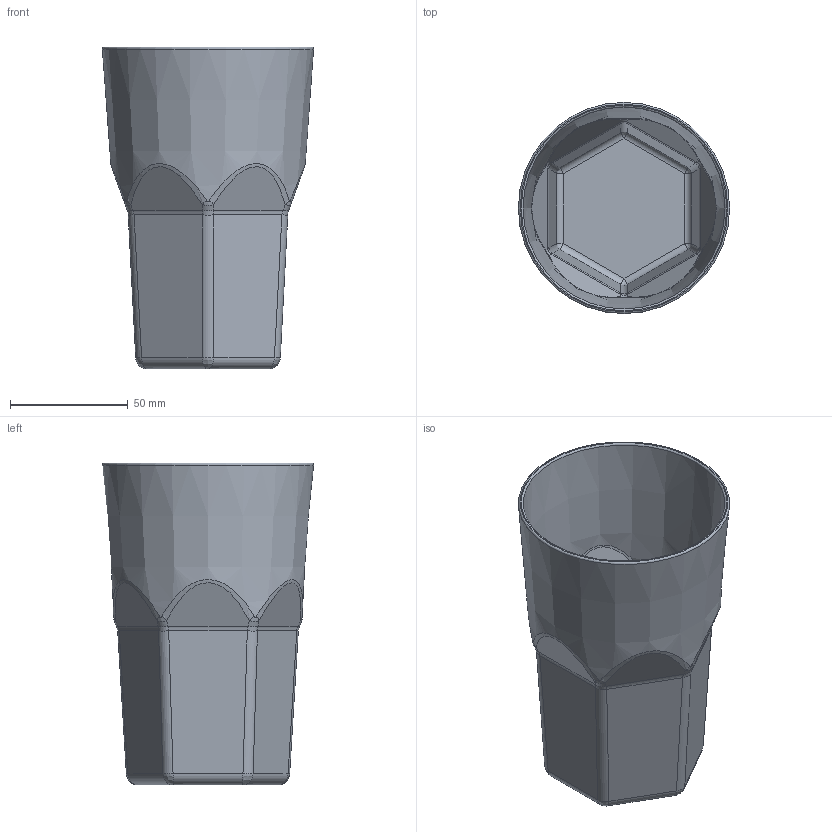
import cadquery as cq
import math

height = 137.0
rim_radius = 45.0
wall = 2.0
cone_slope = math.tan(math.radians(4.2))

bend_height = 66.6
bend_apothem = 34.0
side_slope = math.tan(math.radians(3.0))
flare_slope = math.tan(math.radians(20.0))
slab_half_length = 2 * rim_radius
slab_turns = (60.0, 120.0)

corner_radius = 5.0
base_radius = 5.0
bend_radius = 7.0
arch_radius = 5.0
rim_round = 0.8


def slant_shift(inset, slope):
    """Horizontal shift that moves a wall of the given slope by the inset, square to its face."""
    return inset * math.hypot(1, slope)


def grip_slab(inset):
    """Bar along Y whose two long sides carry the bent profile of opposite hexagon sides."""
    side_shift = slant_shift(inset, side_slope)
    flare_shift = slant_shift(inset, flare_slope)
    bend_rise = (flare_shift - side_shift) / (flare_slope - side_slope)
    bend_z = bend_height + bend_rise
    bend_x = bend_apothem + side_slope * bend_rise - side_shift
    base_x = bend_x - side_slope * (bend_z - inset)
    top_x = bend_x + flare_slope * (height - bend_z)

    half = (
        cq.Workplane("XZ")
        .moveTo(0, inset)
        .lineTo(base_x, inset)
        .lineTo(bend_x, bend_z)
        .lineTo(top_x, height)
        .lineTo(0, height)
        .close()
        .extrude(slab_half_length, both=True)
    )
    bend_edge = cq.selectors.NearestToPointSelector((bend_x, 0, bend_z))
    half = half.edges(bend_edge).fillet(bend_radius + inset)
    return half.union(half.mirror("YZ"))


def hexagonal_grip(inset):
    """Three bars crossed at 60 degrees, with rounded corners and base edge."""
    slab = grip_slab(inset)
    body = slab
    for turn in slab_turns:
        body = body.intersect(slab.rotate((0, 0, 0), (0, 0, 1), turn))
    body = body.edges("not #Z").edges("not |Y").fillet(corner_radius - inset)
    return body.faces("<Z").edges().fillet(base_radius - inset)


def cone(inset):
    top_radius = rim_radius - slant_shift(inset, cone_slope)
    ground_radius = top_radius - cone_slope * height
    return cq.Workplane(cq.Solid.makeCone(ground_radius, top_radius, height))


def skin(inset):
    """Solid bounded by the outer skin shifted inwards by the inset distance."""
    body = hexagonal_grip(inset).intersect(cone(inset))
    arch_edges = body.faces("%CONE").edges("not %CIRCLE")
    return arch_edges.fillet(arch_radius - inset)


cup = skin(0).cut(skin(wall))
result = cup.faces(">Z").edges().fillet(rim_round)